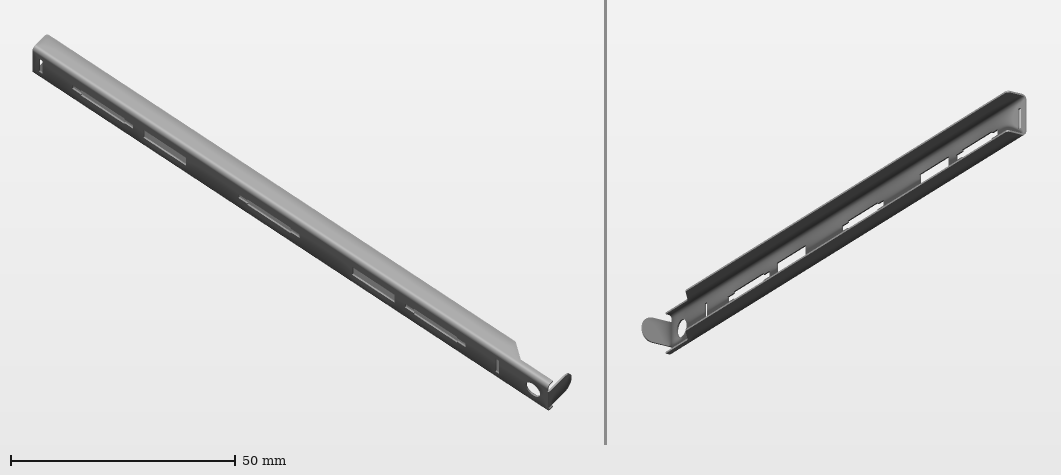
import cadquery as cq

total_length = 148.4
height = 10.0
sheet = 0.4
bend_radius = 1.2
flange_depth = 5.0
flange_corner_radius = 0.7

low_flange_depth = 2.0
ramp_start = 134.7
ramp_end = 138.8

tab_depth = 8.0
tab_width = 6.0
tab_corner_radius = 2.7
tab_bend_radius = 0.3

pattern_center = 68.0
slit_offset = 65.6
slit_width = 1.0
slit_height = 4.9
window_offset = 30.0
window_length = 12.2
window_height = 3.0
slot_pitch = 47.8
slot_length = 17.5
slot_end_height = 1.3
slot_middle_length = 12.5
slot_middle_height = 2.1
hole_x = 143.8
hole_diameter = 4.2

channel_length = total_length - sheet
cut_depth = 2 * sheet


def make_channel():
    """Bent U-section, trimmed to the side outline of the flanges."""
    outer = (
        cq.Workplane("XY")
        .box(channel_length, flange_depth, height, centered=(False, False, True))
        .edges("|X and <Y")
        .fillet(bend_radius)
    )
    inner = (
        cq.Workplane("XY")
        .box(channel_length, flange_depth, height - 2 * sheet, centered=(False, False, True))
        .edges("|X and <Y")
        .fillet(bend_radius - sheet)
        .translate((0, sheet, 0))
    )
    side_outline = (
        cq.Workplane("XY")
        .polyline([
            (0, 0),
            (channel_length, 0),
            (channel_length, low_flange_depth),
            (ramp_end, low_flange_depth),
            (ramp_start, flange_depth),
            (0, flange_depth),
        ])
        .close()
        .extrude(height / 2, both=True)
        .edges("|Z and <X and >Y")
        .fillet(flange_corner_radius)
    )
    return outer.cut(inner).intersect(side_outline)


def make_tab():
    """Upright tab closing the +X end, with rounded free corners and a bent foot."""
    return (
        cq.Workplane("XY")
        .box(sheet, tab_depth, tab_width, centered=(False, False, True))
        .edges("|X and >Y")
        .fillet(tab_corner_radius)
        .edges("|Z and >X and <Y")
        .fillet(tab_bend_radius)
        .translate((channel_length, 0, 0))
    )


def web_opening(x_center, length, opening_height):
    """Rectangular cutter passing through the web."""
    return cq.Workplane("XY").box(length, 2 * cut_depth, opening_height).translate((x_center, 0, 0))


result = make_channel().union(make_tab())

for side in (-1, 1):
    slit_x = pattern_center + side * slit_offset
    window_x = pattern_center + side * window_offset
    result = result.cut(web_opening(slit_x, slit_width, slit_height))
    result = result.cut(web_opening(window_x, window_length, window_height))

for step in (-1, 0, 1):
    slot_x = pattern_center + step * slot_pitch
    result = result.cut(web_opening(slot_x, slot_length, slot_end_height))
    result = result.cut(web_opening(slot_x, slot_middle_length, slot_middle_height))

hole = (
    cq.Workplane("XZ")
    .center(hole_x, 0)
    .circle(hole_diameter / 2)
    .extrude(cut_depth, both=True)
)
result = result.cut(hole)